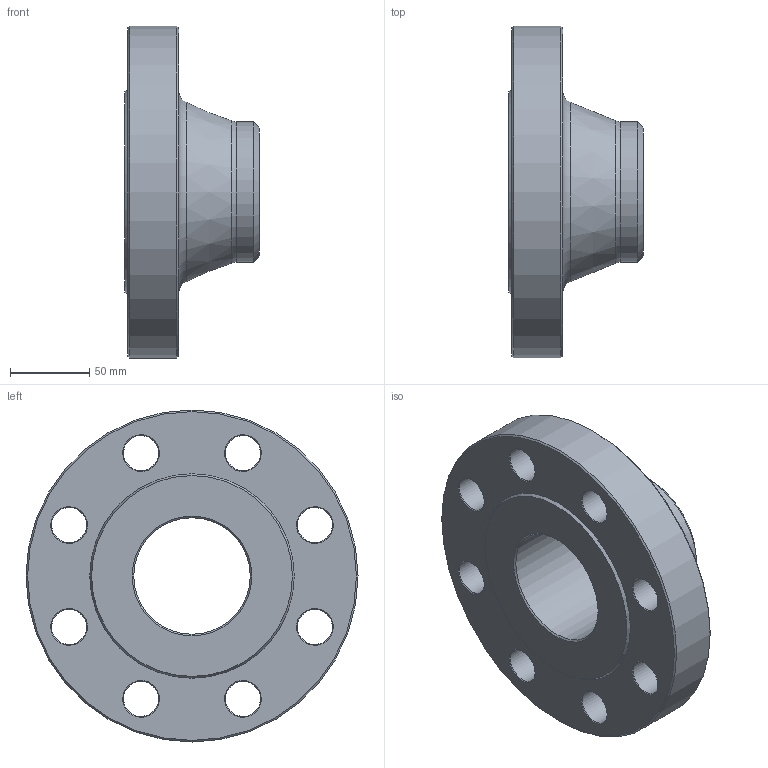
import cadquery as cq
import math


total_length = 85.0
raised_face_height = 2.0
flange_thickness = 32.0
flange_back_x = raised_face_height + flange_thickness

flange_radius = 210.0 / 2
flange_edge_chamfer = 1.0
raised_face_radius = 127.0 / 2
raised_face_slope = 30.0
raised_face_flare = raised_face_height * math.tan(math.radians(raised_face_slope))

neck_radius = 88.9 / 2
neck_start_x = 69.0
hub_base_radius = 117.5 / 2
hub_fillet_radius = 8.0
neck_blend_radius = 8.0
weld_bevel_length = 3.5
weld_bevel_height = 4.0

bore_radius = 73.66 / 2
bore_chamfer = 1.0

bolt_count = 8
bolt_hole_diameter = 22.2
bolt_hole_chamfer = 0.5
bolt_hole_chamfer_angle = 45.0
bolt_circle_radius = 168.3 / 2
first_bolt_angle = 180.0 / bolt_count


def make_turned_body():
    """Revolve the half section of raised face, flange, hub, neck and bore."""
    taper_angle = math.atan2(hub_base_radius - neck_radius, neck_start_x - flange_back_x)

    hub_fillet_setback = hub_fillet_radius * math.tan((math.pi / 2 - taper_angle) / 2)
    neck_blend_setback = neck_blend_radius * math.tan(taper_angle / 2)

    fillet_x = flange_back_x + hub_fillet_radius
    fillet_r = hub_base_radius + hub_fillet_setback
    blend_x = neck_start_x + neck_blend_setback
    blend_r = neck_radius + neck_blend_radius

    def arc_point(centre_x, centre_r, radius, angle):
        """Point on an arc, the angle measured from the inward radius toward the flange."""
        return (centre_x - radius * math.sin(angle), centre_r - radius * math.cos(angle))

    fillet_middle_angle = (taper_angle + math.pi / 2) / 2
    fillet_middle = arc_point(fillet_x, fillet_r, hub_fillet_radius, fillet_middle_angle)
    fillet_end = arc_point(fillet_x, fillet_r, hub_fillet_radius, taper_angle)
    blend_start = arc_point(blend_x, blend_r, neck_blend_radius, taper_angle)
    blend_middle = arc_point(blend_x, blend_r, neck_blend_radius, taper_angle / 2)

    section = (
        cq.Workplane("XY")
        .moveTo(0, bore_radius + bore_chamfer)
        .lineTo(0, raised_face_radius)
        .lineTo(raised_face_height, raised_face_radius + raised_face_flare)
        .lineTo(raised_face_height, flange_radius - flange_edge_chamfer)
        .lineTo(raised_face_height + flange_edge_chamfer, flange_radius)
        .lineTo(flange_back_x - flange_edge_chamfer, flange_radius)
        .lineTo(flange_back_x, flange_radius - flange_edge_chamfer)
        .lineTo(flange_back_x, fillet_r)
        .threePointArc(fillet_middle, fillet_end)
        .lineTo(*blend_start)
        .threePointArc(blend_middle, (blend_x, neck_radius))
        .lineTo(total_length - weld_bevel_length, neck_radius)
        .lineTo(total_length, neck_radius - weld_bevel_height)
        .lineTo(total_length, bore_radius)
        .lineTo(bore_chamfer, bore_radius)
        .close()
    )
    return section.revolve(360, (0, 0, 0), (1, 0, 0))


def make_bolt_hole_cutters():
    """Drills through the flange, each with a chamfered mouth on the front face."""
    flange_front = cq.Workplane("YZ", origin=(raised_face_height, 0, 0))
    pattern = flange_front.polarArray(bolt_circle_radius, first_bolt_angle, 360, bolt_count)
    drills = pattern.circle(bolt_hole_diameter / 2).extrude(flange_thickness)
    mouth_radius = bolt_hole_diameter / 2 + bolt_hole_chamfer
    mouths = pattern.circle(mouth_radius).extrude(bolt_hole_chamfer, taper=bolt_hole_chamfer_angle)
    return drills.union(mouths)


result = make_turned_body().cut(make_bolt_hole_cutters())